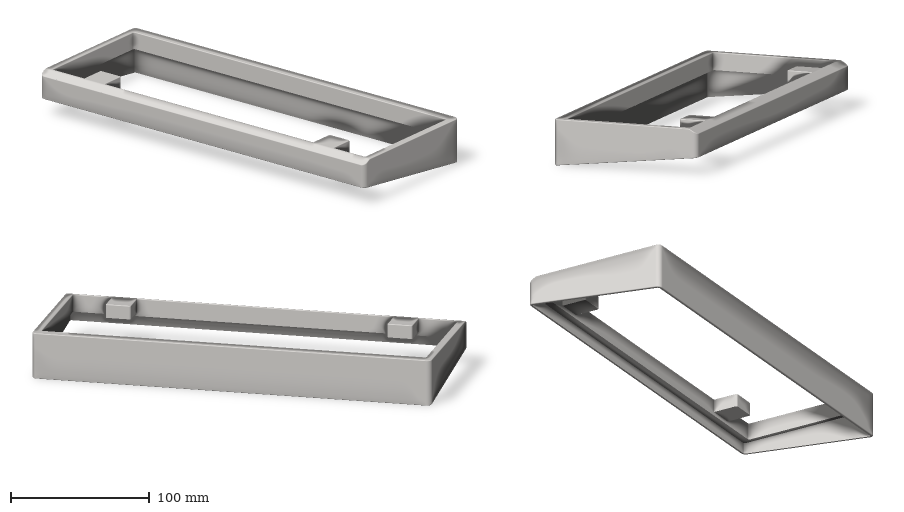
import cadquery as cq

LENGTH = 296.2
DEPTH = 111.0
HEIGHT = 34.0
FRONT_BOTTOM = 13.0
CORNER_RADIUS = 3.5
EDGE_RADIUS = 0.5

BEVEL_DEPTH = 6.2
BEVEL_DROP = 3.5
BEVEL_BLEND_RADIUS = 3.5

RIM_WIDTH = 8.0
SIDE_RIM_WIDTH = 5.5
RIM_THICKNESS = 13.0
WALL = 2.0
INNER_RADIUS = 2.52 / 2

TAB_WIDTH = 18.7
TAB_END = 27.2
TAB_THICKNESS = 10.0
TAB_SPACING = 208.8
TAB_OVERLAP = EDGE_RADIUS


def upright_block(x_size, y_min, y_max, z_min, z_max):
    """Block centred on X = 0 between the given Y and Z limits."""
    block = cq.Workplane("XY").box(x_size, y_max - y_min, z_max - z_min, centered=(True, False, False))
    return block.translate((0, y_min, z_min))


def outer_body():
    """Solid wedge with a bevelled front edge and rounded vertical corners."""
    side_profile = [
        (0, FRONT_BOTTOM),
        (DEPTH, 0),
        (DEPTH, HEIGHT),
        (BEVEL_DEPTH, HEIGHT),
        (0, HEIGHT - BEVEL_DROP),
    ]
    wedge = cq.Workplane("YZ").polyline(side_profile).close().extrude(LENGTH / 2, both=True)
    bevel_top = cq.selectors.NearestToPointSelector((0, BEVEL_DEPTH, HEIGHT))
    wedge = wedge.edges(bevel_top).fillet(BEVEL_BLEND_RADIUS)
    rounded = upright_block(LENGTH, 0, DEPTH, 0, HEIGHT).edges("|Z").fillet(CORNER_RADIUS)
    body = wedge.intersect(rounded)

    blend_borders = cq.selectors.BoxSelector(
        (-LENGTH / 4, BEVEL_DEPTH - BEVEL_BLEND_RADIUS, HEIGHT - BEVEL_BLEND_RADIUS),
        (LENGTH / 4, BEVEL_DEPTH + BEVEL_BLEND_RADIUS, HEIGHT + BEVEL_BLEND_RADIUS),
    )
    upright_edges = cq.selectors.ParallelDirSelector(cq.Vector(0, 0, 1))
    return body.edges(-(upright_edges + blend_borders)).fillet(EDGE_RADIUS)


def opening():
    """Through opening bounded by the top rim."""
    cutter = upright_block(LENGTH - 2 * SIDE_RIM_WIDTH, RIM_WIDTH, DEPTH - RIM_WIDTH, 0, HEIGHT)
    return cutter.edges("|Z").fillet(INNER_RADIUS)


def recess():
    """Wider cavity below the rim that leaves a thin wall all round."""
    cutter = upright_block(LENGTH - 2 * WALL, WALL, DEPTH - WALL, 0, HEIGHT - RIM_THICKNESS)
    return cutter.edges("|Z").fillet(INNER_RADIUS)


def tab(x_centre):
    """Flat tab joined to the front rim, with rounded free edges."""
    block = upright_block(TAB_WIDTH, RIM_WIDTH - TAB_OVERLAP, TAB_END, HEIGHT - TAB_THICKNESS, HEIGHT)
    block = block.edges("|Z and >Y").fillet(INNER_RADIUS)
    block = block.faces(">Z").edges("not <Y").fillet(EDGE_RADIUS)
    return block.translate((x_centre, 0, 0))


def round_rim(frame):
    """Round the top edge of the opening."""
    rim_edges = cq.selectors.BoxSelector(
        (SIDE_RIM_WIDTH - EDGE_RADIUS - LENGTH / 2, RIM_WIDTH - EDGE_RADIUS, HEIGHT - EDGE_RADIUS),
        (LENGTH / 2 - SIDE_RIM_WIDTH + EDGE_RADIUS, DEPTH - RIM_WIDTH + EDGE_RADIUS, HEIGHT + EDGE_RADIUS),
    )
    return frame.edges(rim_edges).fillet(EDGE_RADIUS)


result = round_rim(outer_body().cut(opening()).cut(recess()))
for side in (-1, 1):
    result = result.union(tab(side * TAB_SPACING / 2))